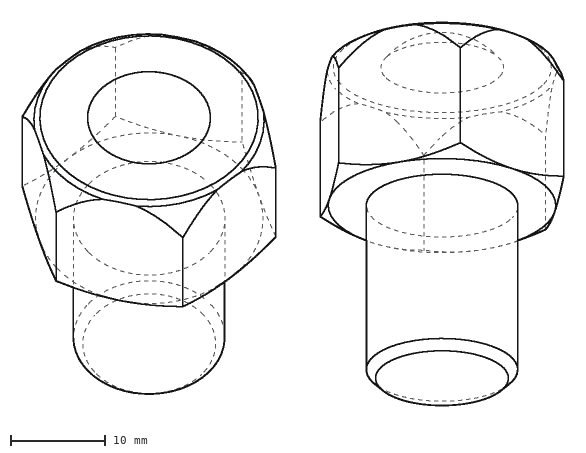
import cadquery as cq
import math

total_height = 39.3
shank_length = 20.0
head_top = 36.0

across_flats = 24.0
across_corners = across_flats / math.cos(math.pi / 6)
flat_radius = across_flats / 2
corner_radius = across_corners / 2
top_face_radius = 11.5
top_edge_drop = 0.4
top_cone_radius = 12.15
top_cone_drop = 3.93
bottom_face_radius = flat_radius
bottom_cone_rise = 1.05

shank_radius = 16.0 / 2
shank_chamfer = 1.0

ball_radius = 8.0


def make_shank():
    """Round shank with a chamfered lower end."""
    shank = cq.Workplane("XY").circle(shank_radius).extrude(shank_length)
    return shank.faces("<Z").chamfer(shank_chamfer)


def make_head():
    """Hexagon with flats facing +X and -X, trimmed by turned cones at both ends."""
    hexagon = (
        cq.Workplane("XY")
        .workplane(offset=shank_length)
        .transformed(rotate=(0, 0, 90))
        .polygon(6, across_corners)
        .extrude(head_top - shank_length)
    )
    turned_blank = (
        cq.Workplane("XZ")
        .moveTo(0, shank_length)
        .lineTo(bottom_face_radius, shank_length)
        .lineTo(corner_radius, shank_length + bottom_cone_rise)
        .lineTo(corner_radius, head_top - top_cone_drop)
        .lineTo(top_cone_radius, head_top - top_edge_drop)
        .lineTo(top_face_radius, head_top)
        .lineTo(0, head_top)
        .close()
        .revolve(360, (0, 0), (0, 1))
    )
    return hexagon.intersect(turned_blank)


def make_ball():
    """Ball seated in the head, its cap standing above the top face."""
    return cq.Workplane("XY").sphere(ball_radius).translate((0, 0, total_height - ball_radius))


result = make_shank().union(make_head()).union(make_ball())